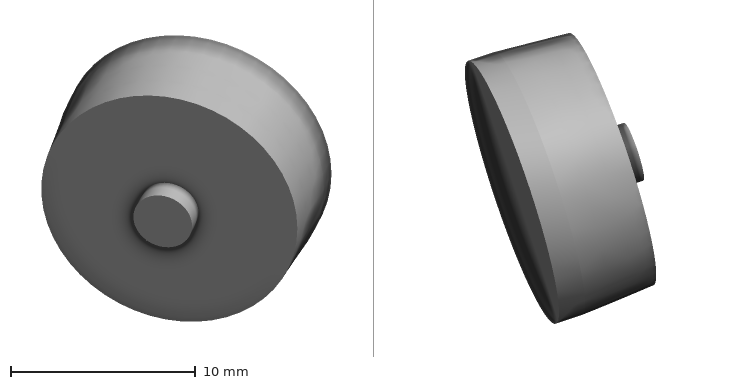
import cadquery as cq

rim_diameter = 15.0
face_diameter = 14.4
pin_diameter = 3.3
rim_width = 1.5
body_depth = 5.7
overall_depth = 7.0

rim_radius = rim_diameter / 2
face_radius = face_diameter / 2
pin_radius = pin_diameter / 2

half_section = (
    cq.Workplane("XY")
    .lineTo(rim_radius, 0)
    .lineTo(rim_radius, -rim_width)
    .lineTo(face_radius, -body_depth)
    .lineTo(pin_radius, -body_depth)
    .lineTo(pin_radius, -overall_depth)
    .lineTo(0, -overall_depth)
    .close()
)

result = half_section.revolve(360, (0, 0, 0), (0, 1, 0))